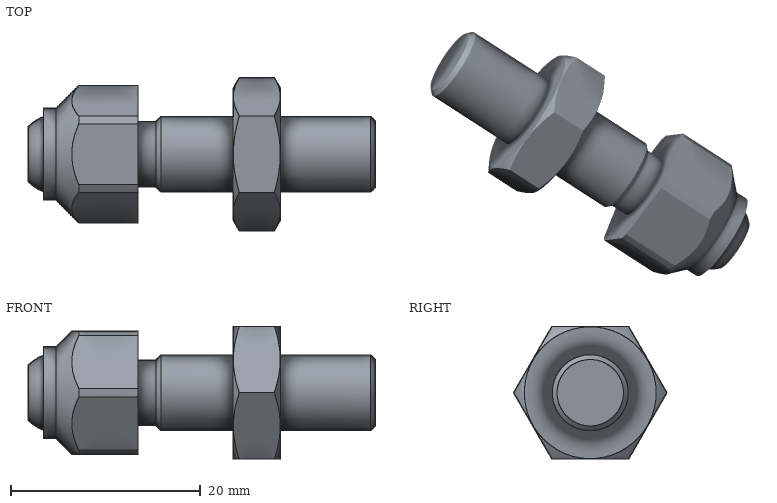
import cadquery as cq
import math


flat_radius = 2.9
ball_radius = 4.2
ball_center_x = math.sqrt(ball_radius**2 - flat_radius**2)

collar_start_x = 1.6
collar_end_x = 2.95
head_end_x = 11.6
neck_end_x = 13.5
screw_end_x = 36.6

collar_radius = 4.85
head_across_flats = 13.0
head_corner_radius = 7.25
thread_radius = 4.0
thread_chamfer = 0.5
thread_end_radius = thread_radius - thread_chamfer
neck_radius = 3.45

nut_start_x = 21.6
nut_thickness = 5.0
nut_across_flats = 14.0
nut_face_radius = 6.95
nut_chamfer_angle = math.radians(30)


def corner_radius(across_flats):
    """Distance from the axis to a sharp corner of a hexagon."""
    return across_flats / math.sqrt(3)


def hex_bar(across_flats, start_x, length):
    """Hexagonal bar along X with corners at +Y and -Y and flats facing +Z and -Z."""
    across_corners = 2 * corner_radius(across_flats)
    return cq.Workplane("YZ", origin=(start_x, 0, 0)).polygon(6, across_corners).extrude(length)


def revolve_about_x(half_profile):
    """Solid of revolution from (x, radius) points whose first and last lie on the axis."""
    return cq.Workplane("XY").polyline(half_profile).close().revolve(360, (0, 0, 0), (1, 0, 0))


def make_ball():
    """Ball with its front cap cut off flat at x = 0."""
    ball_back_x = ball_center_x + ball_radius
    half_profile = (
        cq.Workplane("XY")
        .lineTo(0, flat_radius)
        .threePointArc((ball_center_x, ball_radius), (ball_back_x, 0))
        .close()
    )
    return half_profile.revolve(360, (0, 0, 0), (1, 0, 0))


def make_head():
    """Hexagonal head with rounded corners and a 45 degree cone down to the collar."""
    cone_end_x = collar_end_x + head_corner_radius - collar_radius
    envelope = revolve_about_x([
        (collar_end_x, 0),
        (collar_end_x, collar_radius),
        (cone_end_x, head_corner_radius),
        (head_end_x, head_corner_radius),
        (head_end_x, 0),
    ])
    return hex_bar(head_across_flats, collar_end_x, head_end_x - collar_end_x).intersect(envelope)


def make_shank():
    """Undercut neck followed by the thread cylinder, which is chamfered at both ends."""
    return revolve_about_x([
        (head_end_x, 0),
        (head_end_x, neck_radius),
        (neck_end_x, neck_radius),
        (neck_end_x, thread_end_radius),
        (neck_end_x + thread_chamfer, thread_radius),
        (screw_end_x - thread_chamfer, thread_radius),
        (screw_end_x, thread_end_radius),
        (screw_end_x, 0),
    ])


def make_screw():
    """Collar, head and shank in one piece, with a socket that fits the ball."""
    collar_length = collar_end_x - collar_start_x
    collar = cq.Workplane("YZ", origin=(collar_start_x, 0, 0)).circle(collar_radius).extrude(collar_length)
    return collar.union(make_head()).union(make_shank()).cut(make_ball())


def make_nut():
    """Hexagon nut with its corners chamfered on both faces and a plain bore."""
    nut_end_x = nut_start_x + nut_thickness
    outer_radius = corner_radius(nut_across_flats)
    chamfer_length = (outer_radius - nut_face_radius) * math.tan(nut_chamfer_angle)
    envelope = revolve_about_x([
        (nut_start_x, 0),
        (nut_start_x, nut_face_radius),
        (nut_start_x + chamfer_length, outer_radius),
        (nut_end_x - chamfer_length, outer_radius),
        (nut_end_x, nut_face_radius),
        (nut_end_x, 0),
    ])
    bore = cq.Workplane("YZ", origin=(nut_start_x, 0, 0)).circle(thread_radius).extrude(nut_thickness)
    return hex_bar(nut_across_flats, nut_start_x, nut_thickness).intersect(envelope).cut(bore)


ball = make_ball()
screw = make_screw()
nut = make_nut()

result = cq.Compound.makeCompound([ball.val(), screw.val(), nut.val()])